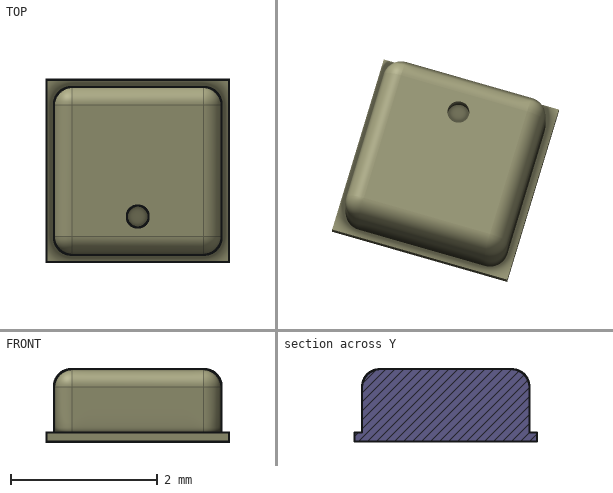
import cadquery as cq

plate_side = 2.5
total_height = 1.0
plate_thickness = 0.13

lid_margin = 0.1
lid_side = plate_side - 2 * lid_margin
lid_height = total_height - plate_thickness
lid_edge_radius = 0.25

port_diameter = 0.3
port_offset_y = -0.625
port_depth = 0.2


def make_plate():
    return cq.Workplane("XY").box(plate_side, plate_side, plate_thickness, centered=(True, True, False))


def make_lid():
    block = (
        cq.Workplane("XY")
        .workplane(offset=plate_thickness)
        .box(lid_side, lid_side, lid_height, centered=(True, True, False))
    )
    return block.edges("|Z or >Z").fillet(lid_edge_radius)


def make_port():
    return (
        cq.Workplane("XY")
        .workplane(offset=total_height - port_depth)
        .center(0, port_offset_y)
        .circle(port_diameter / 2)
        .extrude(port_depth)
    )


result = make_plate().union(make_lid()).cut(make_port())